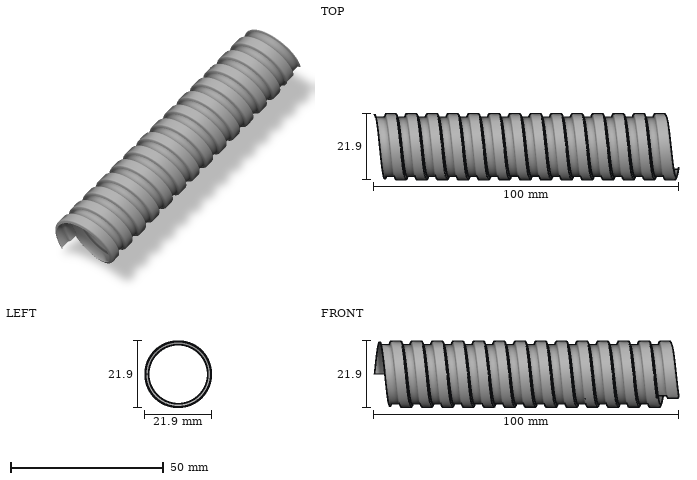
import cadquery as cq
import math

overall_length = 100.0
full_turns = 13
last_turn_angle = 227.0
turns = full_turns + last_turn_angle / 360

strip_thickness = 0.2
crest_radius = 21.9 / 2
crest_inner_radius = crest_radius - strip_thickness
trough_radius = 19.6 / 2
trough_inner_radius = trough_radius - strip_thickness
inner_lip_radius = 21.2 / 2
outer_lip_radius = 19.9 / 2

strip_width = 7.5
step_start = 3.3

lean_angle = math.radians(20)
wall_width = strip_thickness / math.cos(lean_angle)
inner_bend = 0.3
outer_bend = inner_bend + strip_thickness


def lean_offset(radial_distance):
    """Axial shift of a leaning wall over a radial distance."""
    return radial_distance * math.tan(lean_angle)


def inner_lip(radius):
    """Point on the left face of the inner lip."""
    return (lean_offset(inner_lip_radius - radius), radius)


def step(radius):
    """Point on the left face of the step from trough up to crest."""
    return (step_start + lean_offset(radius - trough_radius), radius)


def outer_lip(radius):
    """Point on the right face of the outer lip."""
    return (strip_width - lean_offset(radius - outer_lip_radius), radius)


def shifted(point, distance):
    """Point moved along the hose axis."""
    return (point[0] + distance, point[1])


def rounded(face, corners, radius):
    """Face with the listed corners rounded."""
    places = [cq.Vector(x, y) for x, y in corners]
    vertices = [min(face.Vertices(), key=lambda v: (v.Center() - place).Length) for place in places]
    return face.fillet2D(radius, vertices)


outside_corners = [
    inner_lip(trough_inner_radius),
    shifted(step(trough_inner_radius), wall_width),
    step(crest_radius),
    outer_lip(crest_radius),
]
inside_corners = [
    shifted(inner_lip(trough_radius), wall_width),
    step(trough_radius),
    shifted(step(crest_inner_radius), wall_width),
    shifted(outer_lip(crest_inner_radius), -wall_width),
]


def strip_section():
    """Folded strip section, axial position along X and radius along Y."""
    upper_side = [
        inner_lip(inner_lip_radius),
        shifted(inner_lip(inner_lip_radius), wall_width),
        *inside_corners[:2],
        *outside_corners[2:],
        outer_lip(outer_lip_radius),
    ]
    lower_side = [
        shifted(outer_lip(outer_lip_radius), -wall_width),
        *reversed(inside_corners[2:]),
        *reversed(outside_corners[:2]),
    ]
    outline = cq.Workplane("XY").polyline(upper_side + lower_side).close().val()
    face = cq.Face.makeFromWires(outline)
    face = rounded(face, outside_corners, outer_bend)
    return rounded(face, inside_corners, inner_bend)


def coil_path():
    """Helix that starts on the +Y side and advances along +X."""
    coil_length = overall_length - strip_width
    helix = cq.Wire.makeHelix(coil_length / turns, coil_length, trough_radius)
    return helix.moved(cq.Plane.named("YZ").location)


section_outline = cq.Workplane("XY").newObject([strip_section().outerWire()]).toPending()
result = section_outline.sweep(cq.Workplane(coil_path()), isFrenet=True)